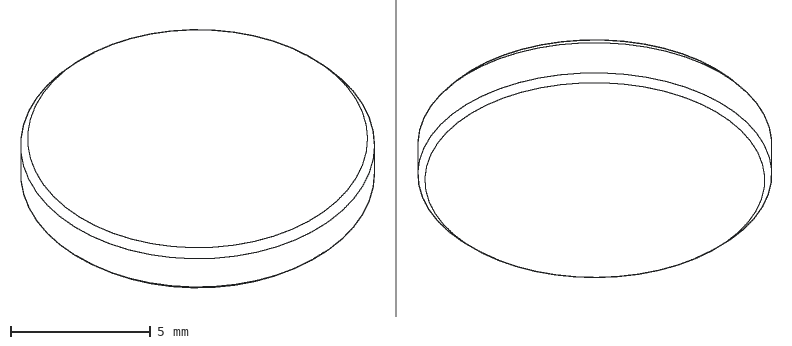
import cadquery as cq

diameter = 12.7
thickness = 2.93
bevel_width = 0.25
top_bevel_height = 0.3
bottom_bevel_height = 0.25
dome_height = 1.05

radius = diameter / 2
face_radius = radius - bevel_width
dome_base = thickness - dome_height

sphere_radius = (face_radius**2 + dome_height**2) / (2 * dome_height)

mid_radius = face_radius / 2
mid_height = thickness - sphere_radius + (sphere_radius**2 - mid_radius**2) ** 0.5

half_section = (
    cq.Workplane("XZ")
    .lineTo(face_radius, 0)
    .lineTo(radius, bottom_bevel_height)
    .lineTo(radius, dome_base - top_bevel_height)
    .lineTo(face_radius, dome_base)
    .threePointArc((mid_radius, mid_height), (0, thickness))
    .close()
)

result = half_section.revolve(360, (0, 0, 0), (0, 1, 0))